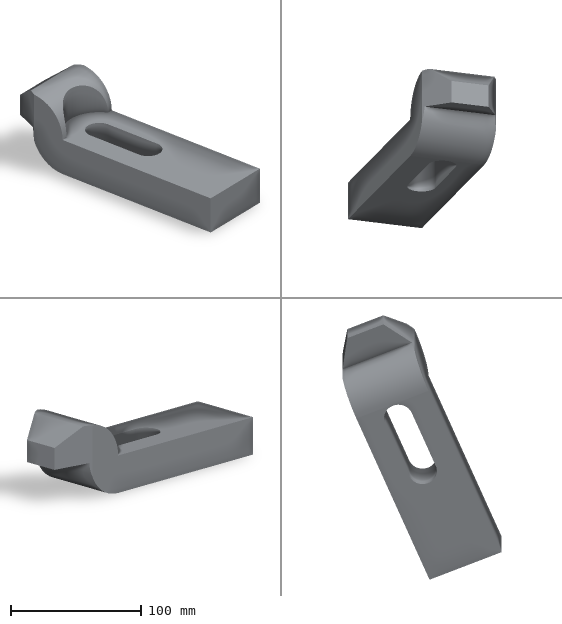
import cadquery as cq
import math

length = 200.0
width = 60.0
bar_thickness = 30.0
height = 2 * bar_thickness

bend_radius = bar_thickness
neck_x = 24.0
bar_start_x = neck_x + bend_radius

nose_bottom_z = 26.5
nose_top_z = 44.2
nose_slope_end_x = 19.5
nose_width = 30.0
nose_taper_angle = 30.0

slot_width = 22.0
slot_start_x = 55.0
slot_end_x = 125.0
clearance_radius = 28.0

mid_arc_factor = math.sin(math.radians(45))


def make_body():
    """Side profile extruded symmetrically across the width."""
    bend_offset = bend_radius * mid_arc_factor
    nose_slope_end_z = bar_thickness + math.sqrt(bend_radius**2 - (neck_x - nose_slope_end_x) ** 2)
    return (
        cq.Workplane("XZ")
        .moveTo(0, nose_bottom_z)
        .lineTo(neck_x, bar_thickness)
        .threePointArc(
            (bar_start_x - bend_offset, bar_thickness - bend_offset),
            (bar_start_x, 0),
        )
        .lineTo(length, 0)
        .lineTo(length, bar_thickness)
        .lineTo(bar_start_x, bar_thickness)
        .threePointArc(
            (neck_x + bend_offset, bar_thickness + bend_offset),
            (nose_slope_end_x, nose_slope_end_z),
        )
        .lineTo(0, nose_top_z)
        .close()
        .extrude(width / 2, both=True)
    )


def make_nose_taper_cut(side):
    """Wedge narrowing the nose on one side (side is +1 or -1)."""
    taper_depth = (width - nose_width) / 2
    taper_length = taper_depth / math.tan(math.radians(nose_taper_angle))
    return (
        cq.Workplane("XY")
        .polyline([
            (0, side * nose_width / 2),
            (taper_length, side * width / 2),
            (0, side * width / 2),
        ])
        .close()
        .extrude(height)
    )


def make_slot_cut():
    """Round-ended slot through the bar."""
    return (
        cq.Workplane("XY")
        .center((slot_start_x + slot_end_x) / 2, 0)
        .slot2D(slot_end_x - slot_start_x, slot_width)
        .extrude(height)
    )


def make_washer_clearance():
    """Cylinder above the bar, concentric with the front end of the slot."""
    return (
        cq.Workplane("XY", origin=(slot_start_x + slot_width / 2, 0, bar_thickness))
        .circle(clearance_radius)
        .extrude(height - bar_thickness)
    )


result = make_body()
for side in (1, -1):
    result = result.cut(make_nose_taper_cut(side))
result = result.cut(make_slot_cut()).cut(make_washer_clearance())